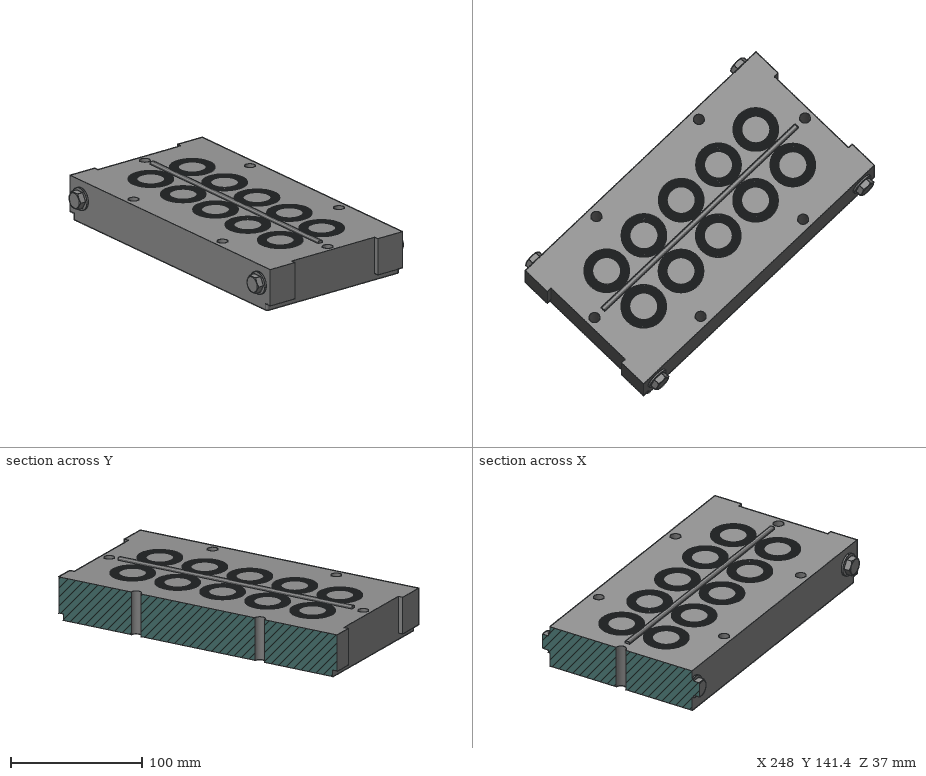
import cadquery as cq
import math

body_length = 248.0
body_width = 128.0
body_height = 29.8
notch_depth = 4.0
notch_width = 80.0
base_height = 5.2
base_corner_radius = 2.0
base_length = body_length - 2 * notch_depth
top_z = base_height + body_height

hole_diameter = 8.2
side_hole_x = 55.0
side_hole_y = 56.3
end_hole_x = 113.0

rail_length = 208.0
rail_width = 4.0
rail_height = 2.0
rail_fillet = 1.0

ring_columns = 5
ring_rows = 2
ring_pitch = notch_width / ring_rows
ring_inner_radius = 10.7
ring_outer_radius = 17.4
slots_per_ring = 72
slot_width = 0.8
slot_depth = 0.2

bolt_x = 110.0
bolt_z = base_height + body_height / 2
washer_diameter = 18.0
washer_thickness = 1.5
head_sides = 6
head_across_flats = 13.0
head_height = 5.2
head_face_diameter = 12.5
head_chamfer_angle = 30.0


def make_body():
    """Slab with a shallow full-height notch in the middle of each end."""
    slab = cq.Workplane("XY").workplane(offset=base_height).box(
        body_length, body_width, body_height, centered=(True, True, False)
    )
    notches = (
        cq.Workplane("XY")
        .workplane(offset=base_height)
        .pushPoints([(-body_length / 2, 0), (body_length / 2, 0)])
        .rect(2 * notch_depth, notch_width)
        .extrude(body_height)
    )
    return slab.cut(notches)


def make_base():
    """Plate under the body with rounded vertical corners."""
    plate = cq.Workplane("XY").box(base_length, body_width, base_height, centered=(True, True, False))
    return plate.edges("|Z").fillet(base_corner_radius)


def make_rail():
    """Low bar along the X axis with rounded upper edges."""
    bar = cq.Workplane("XY").workplane(offset=top_z).box(
        rail_length, rail_width, rail_height, centered=(True, True, False)
    )
    return bar.edges("|X and >Z").fillet(rail_fillet)


def make_bolt():
    """Washer and chamfered hexagon head along +Z, seated at the origin."""
    across_corners = head_across_flats / math.cos(math.pi / head_sides)
    corner_radius = across_corners / 2
    face_radius = head_face_diameter / 2
    head_top = washer_thickness + head_height
    chamfer_drop = (corner_radius - face_radius) * math.tan(math.radians(head_chamfer_angle))
    washer = cq.Workplane("XY").circle(washer_diameter / 2).extrude(washer_thickness)
    hexagon = cq.Workplane("XY").polygon(head_sides, across_corners).extrude(head_top)
    envelope = (
        cq.Workplane("XZ")
        .moveTo(0, 0)
        .lineTo(corner_radius, 0)
        .lineTo(corner_radius, head_top - chamfer_drop)
        .lineTo(face_radius, head_top)
        .lineTo(0, head_top)
        .close()
        .revolve(360, (0, 0, 0), (0, 1, 0))
    )
    return washer.union(hexagon.intersect(envelope))


def place_bolt(bolt, x, side):
    """Put a bolt on the long side facing -Y (side = -1) or +Y (side = 1)."""
    turned = bolt.rotate((0, 0, 0), (1, 0, 0), -90 * side)
    return turned.translate((x, side * body_width / 2, bolt_z))


def cut_holes(solid):
    """Through holes: two along each long side and one at each end."""
    points = [(sx * side_hole_x, sy * side_hole_y) for sx in (-1, 1) for sy in (-1, 1)]
    points += [(-end_hole_x, 0), (end_hole_x, 0)]
    drills = cq.Workplane("XY").pushPoints(points).circle(hole_diameter / 2).extrude(top_z)
    return solid.cut(drills)


def cut_slot_rings(solid):
    """Shallow radial slots in the top face, arranged as rings on a grid."""
    slot_length = ring_outer_radius - ring_inner_radius
    middle_radius = (ring_inner_radius + ring_outer_radius) / 2
    slot_step = 360 / slots_per_ring
    ring = (
        cq.Workplane("XY")
        .polarArray(middle_radius, slot_step / 2, 360, slots_per_ring)
        .rect(slot_length, slot_width)
        .extrude(-slot_depth)
        .val()
    )
    rings = (
        cq.Workplane("XY")
        .workplane(offset=top_z)
        .rarray(ring_pitch, ring_pitch, ring_columns, ring_rows)
        .eachpoint(lambda location: ring.moved(location))
    )
    return solid.cut(cq.Workplane(cq.Compound.makeCompound(rings.vals())), clean=False)


result = make_body().union(make_base()).union(make_rail())
result = cut_holes(result)
side_bolt = make_bolt()
for x in (-bolt_x, bolt_x):
    for side in (-1, 1):
        result = result.union(place_bolt(side_bolt, x, side))
result = cut_slot_rings(result)